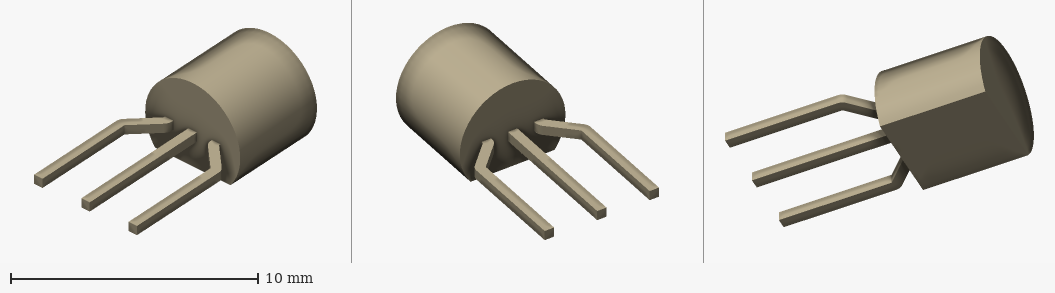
import cadquery as cq
import math

body_radius = 2.55
body_height = 4.1
body_length = 4.71
flat_z = body_radius - body_height

total_length = 11.3
lead_span = 5.53
lead_size = 0.45
half_lead = lead_size / 2
lead_pitch = (lead_span - lead_size) / 2
exit_pitch = lead_pitch / 2
straight_exit = 0.09

lead_tip_y = body_length - total_length


def make_body():
    cylinder = cq.Workplane("XZ").circle(body_radius).extrude(-body_length)
    keep = (
        cq.Workplane("XY")
        .box(2 * body_radius, body_length, body_height, centered=(True, False, False))
        .translate((0, 0, flat_z))
    )
    return cylinder.intersect(keep)


def make_middle_lead():
    return (
        cq.Workplane("XY", origin=(0, 0, -half_lead))
        .moveTo(-half_lead, 0)
        .lineTo(half_lead, 0)
        .lineTo(half_lead, lead_tip_y)
        .lineTo(-half_lead, lead_tip_y)
        .close()
        .extrude(lead_size)
    )


def on_bend(center, degrees):
    """Point on the outside of a bend that is sharp on its inside."""
    angle = math.radians(degrees)
    return (
        center[0] + lead_size * math.cos(angle),
        center[1] + lead_size * math.sin(angle),
    )


def make_right_lead():
    upper_bend = (exit_pitch + half_lead, -straight_exit)
    lower_bend_x = lead_pitch - half_lead
    bend_run = lower_bend_x - upper_bend[0]
    bend_drop = bend_run + math.sqrt(2) * lead_size
    lower_bend = (lower_bend_x, upper_bend[1] - bend_drop)
    return (
        cq.Workplane("XY", origin=(0, 0, -half_lead))
        .moveTo(upper_bend[0], 0)
        .lineTo(exit_pitch - half_lead, 0)
        .lineTo(*on_bend(upper_bend, 180))
        .threePointArc(on_bend(upper_bend, 202.5), on_bend(upper_bend, 225))
        .lineTo(*lower_bend)
        .lineTo(lower_bend[0], lead_tip_y)
        .lineTo(lead_pitch + half_lead, lead_tip_y)
        .lineTo(*on_bend(lower_bend, 0))
        .threePointArc(on_bend(lower_bend, 22.5), on_bend(lower_bend, 45))
        .lineTo(*upper_bend)
        .close()
        .extrude(lead_size)
    )


right_lead = make_right_lead()
left_lead = right_lead.mirror("YZ")
result = make_body().union(make_middle_lead()).union(right_lead).union(left_lead)